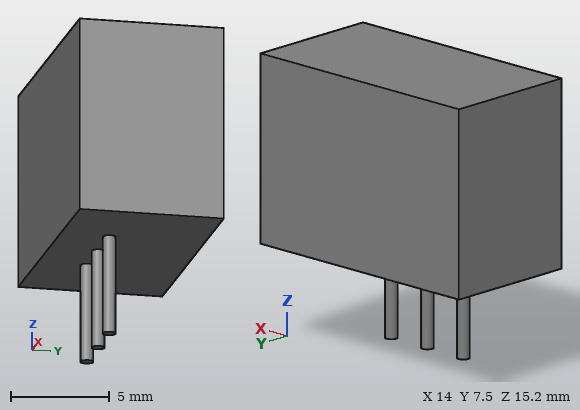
import cadquery as cq

housing_length = 14.0
housing_width = 7.5
housing_height = 10.1

overall_height = 15.2
pin_diameter = 0.65
pin_pitch = 2.54
pin_count = 3
pin_front_inset = 2.55
pin_length = overall_height - housing_height
pin_row_y = pin_front_inset - housing_width / 2


def make_housing():
    """Plain block standing on Z = 0, centred in X and Y."""
    return cq.Workplane("XY").box(
        housing_length, housing_width, housing_height, centered=(True, True, False)
    )


def make_pin(x):
    """Round pin hanging from the underside of the housing."""
    return (
        cq.Workplane("XY")
        .center(x, pin_row_y)
        .circle(pin_diameter / 2)
        .extrude(-pin_length)
    )


housing = make_housing()

pins = []
for index in range(pin_count):
    pin_x = (index - (pin_count - 1) / 2) * pin_pitch
    pins.append(make_pin(pin_x).val())

result = cq.Compound.makeCompound([housing.val(), *pins])